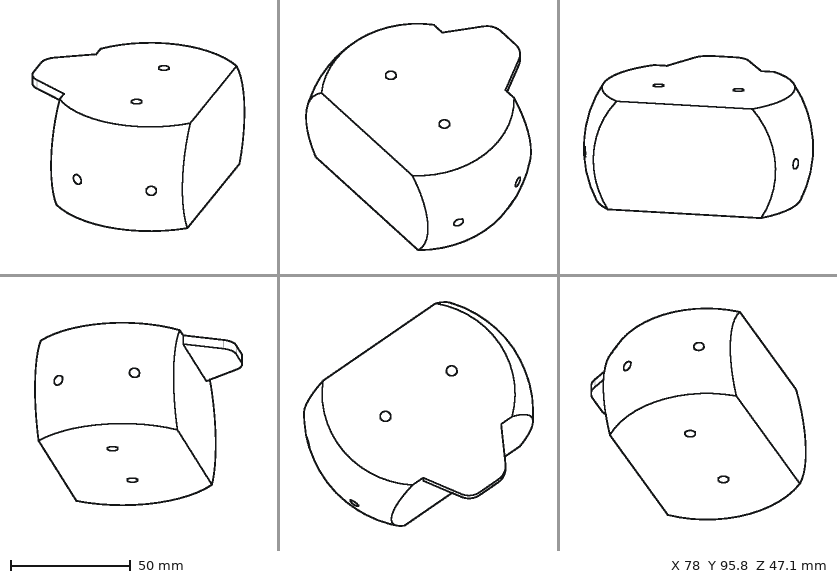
import cadquery as cq
import math

ball_radius = 47.9
top_z = 26.0
bottom_z = -21.1
left_x = -31.0
right_x = 28.0

tab_tip_x = -50.0
tab_thickness = 4.0
tab_root_width = 40.2
tab_slope_angle = 30.0
tab_corner_radius = 7.7

top_hole_diameter = 4.4
top_hole_spacing = 34.1
side_hole_diameter = 4.2
side_hole_angle = 20.0


def make_body():
    length = right_x - left_x
    trim_box = cq.Workplane("XY").box(
        length, 2 * ball_radius, top_z - bottom_z, centered=(False, True, False)
    ).translate((left_x, 0, bottom_z))
    return cq.Workplane("XY").sphere(ball_radius).intersect(trim_box)


def make_tab():
    root_half = tab_root_width / 2
    slope_run = left_x - tab_tip_x
    tip_half = root_half - slope_run * math.tan(math.radians(tab_slope_angle))
    outline = [
        (0, -root_half),
        (left_x, -root_half),
        (tab_tip_x, -tip_half),
        (tab_tip_x, tip_half),
        (left_x, root_half),
        (0, root_half),
    ]
    tab = cq.Workplane("XY", origin=(0, 0, top_z)).polyline(outline).close().extrude(-tab_thickness)
    return tab.edges("|Z and <X").fillet(tab_corner_radius)


def make_top_holes():
    """Vertical holes right through the body."""
    half = top_hole_spacing / 2
    plane = cq.Workplane("XY", origin=(0, 0, bottom_z))
    return plane.pushPoints([(0, -half), (0, half)]).circle(top_hole_diameter / 2).extrude(top_z - bottom_z)


def make_side_hole(angle):
    """Hole along a full diameter of the ball, level with its centre and turned by angle from Y."""
    plane = cq.Workplane("XZ").transformed(rotate=(0, angle, 0))
    return plane.circle(side_hole_diameter / 2).extrude(ball_radius, both=True)


result = make_body().union(make_tab()).cut(make_top_holes())
for hole_angle in (-side_hole_angle, side_hole_angle):
    result = result.cut(make_side_hole(hole_angle))